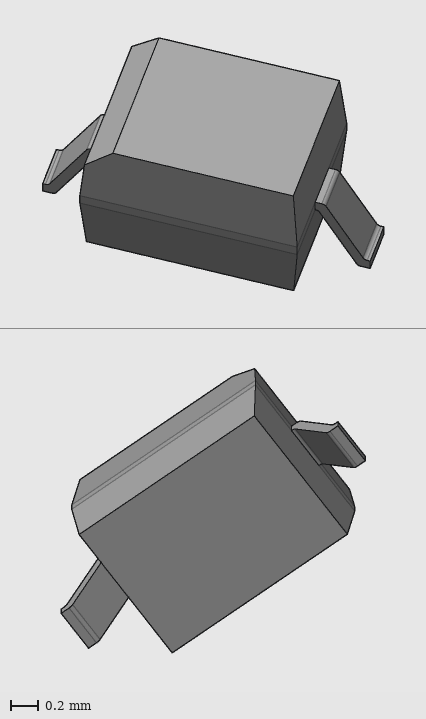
import cadquery as cq
import math

span = 2.5
overall_height = 1.13

housing_length = 1.66
housing_width = 1.23
housing_bottom = 0.052
draft_angle = 4.7
bevel_top_x = -0.59
bevel_low_z = 0.938

lead_width = 0.34
lead_thickness = 0.085
lead_top = 0.61
slope_angle = 60.0
shoulder_x = 0.902
bend_radius = 0.038

band_bottom = lead_top - lead_thickness
tan_draft = math.tan(math.radians(draft_angle))


def make_housing():
    band = (
        cq.Workplane("XY", origin=(0, 0, band_bottom))
        .rect(housing_length, housing_width)
        .extrude(lead_thickness)
    )
    upper = (
        cq.Workplane("XY", origin=(0, 0, lead_top))
        .rect(housing_length, housing_width)
        .extrude(overall_height - lead_top, taper=draft_angle)
    )
    lower = (
        cq.Workplane("XY", origin=(0, 0, band_bottom))
        .rect(housing_length, housing_width)
        .extrude(housing_bottom - band_bottom, taper=draft_angle)
    )
    return band.union(upper).union(lower).cut(make_bevel_cutter())


def make_bevel_cutter():
    """Wedge that removes the top edge at the -X end, across the full width."""
    end_x = -housing_length / 2
    low_x = end_x + (bevel_low_z - lead_top) * tan_draft
    return (
        cq.Workplane("XZ")
        .moveTo(bevel_top_x, overall_height)
        .lineTo(low_x, bevel_low_z)
        .lineTo(end_x, bevel_low_z)
        .lineTo(end_x, overall_height)
        .close()
        .extrude(housing_width / 2, both=True)
    )


def make_lead(side):
    """Lead at the +X end (side = 1) or the -X end (side = -1)."""
    slope = math.radians(slope_angle)
    foot_corner_x = shoulder_x + (lead_top - lead_thickness) / math.tan(slope)
    corner_shift = lead_thickness * math.tan(slope / 2)
    root_x = housing_length / 2
    tip_x = span / 2
    outline = [
        (root_x, lead_top),
        (shoulder_x, lead_top),
        (foot_corner_x, lead_thickness),
        (tip_x, lead_thickness),
        (tip_x, 0),
        (foot_corner_x - corner_shift, 0),
        (shoulder_x - corner_shift, band_bottom),
        (root_x, band_bottom),
    ]
    lead = (
        cq.Workplane("XZ")
        .polyline([(side * x, z) for x, z in outline])
        .close()
        .extrude(lead_width / 2, both=True)
    )
    return lead.edges("|Y").edges("not(<X or >X)").fillet(bend_radius)


housing = make_housing()
leads = [make_lead(side) for side in (-1, 1)]

result = cq.Compound.makeCompound([housing.val(), *[lead.val() for lead in leads]])